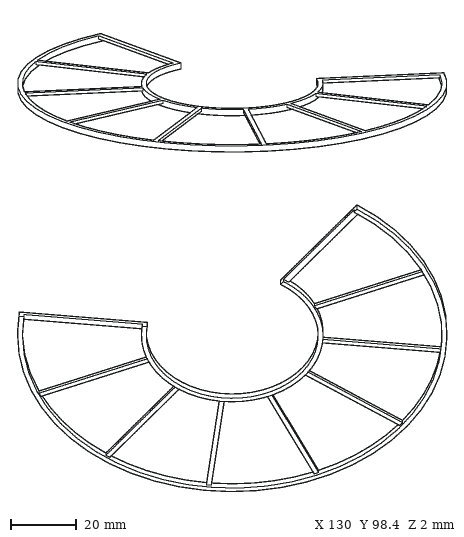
import cadquery as cq
import math

outer_radius = 65.0
inner_radius = 26.0
rim_height = 2.0
bar_height = 1.0
half_rib = 0.75
half_end_bar = 1.0
spoke_pitch = 30
right_end_angle = 30
left_end_angle = 180 - right_end_angle

rib_width = 2 * half_rib
end_bar_width = 2 * half_end_bar
fan_sweep = 360 - (left_end_angle - right_end_angle)
bay_count = fan_sweep // spoke_pitch


def ring(ring_inner, ring_outer):
    """Full flat ring standing on the XY plane."""
    return cq.Workplane("XY").circle(ring_outer).circle(ring_inner).extrude(rim_height)


def radial_bar(angle, width):
    """Straight bar centred on a radial line, from the centre past the outer rim."""
    length = outer_radius + width
    bottom = rim_height - bar_height
    bar = cq.Workplane("XY").rect(length, width).extrude(bar_height)
    bar = bar.translate((length / 2, 0, bottom))
    return bar.rotate((0, 0, 0), (0, 0, 1), angle)


def gap_wedge():
    """Open sector above the fan, bounded by the outer faces of the end bars."""
    slope = math.radians(right_end_angle)
    apex_y = half_end_bar / math.cos(slope)
    reach_x = 2 * outer_radius
    reach_y = apex_y + reach_x * math.tan(slope)
    corners = [(0, apex_y), (reach_x, reach_y), (-reach_x, reach_y)]
    return cq.Workplane("XY").polyline(corners).close().extrude(rim_height)


frame = ring(outer_radius - rib_width, outer_radius)
frame = frame.union(ring(inner_radius, inner_radius + rib_width))

bars = radial_bar(left_end_angle, end_bar_width)
bars = bars.union(radial_bar(right_end_angle, end_bar_width))
for bay in range(1, bay_count):
    bars = bars.union(radial_bar(left_end_angle + bay * spoke_pitch, rib_width))
frame = frame.union(bars.intersect(ring(inner_radius, outer_radius)))

result = frame.cut(gap_wedge())